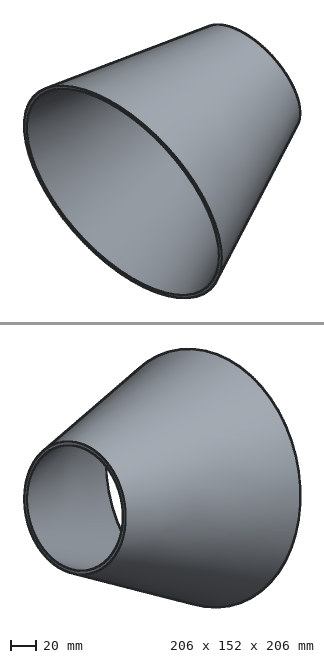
import cadquery as cq

large_diameter = 206.0
small_diameter = 106.0
length = 152.0
wall = 3.0

large_radius = large_diameter / 2
small_radius = small_diameter / 2

wall_section = (
    cq.Workplane("XY")
    .moveTo(large_radius - wall, 0)
    .lineTo(large_radius, 0)
    .lineTo(small_radius, length)
    .lineTo(small_radius - wall, length)
    .close()
)

result = wall_section.revolve(360, (0, 0, 0), (0, 1, 0))